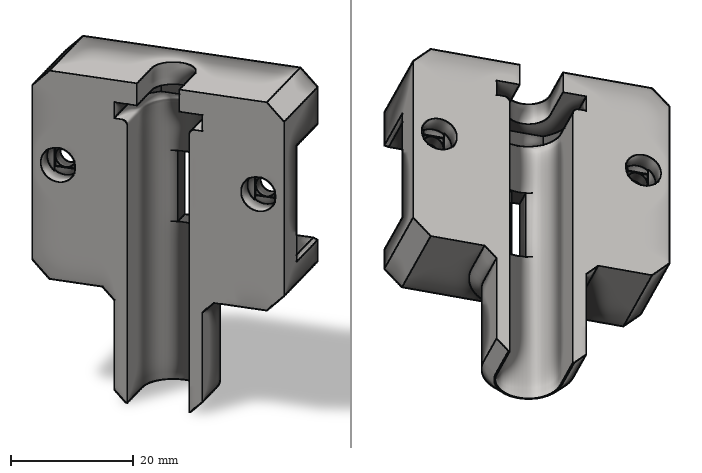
import cadquery as cq
import math

plate_width = 44.0
plate_depth = 15.7
top_z = 57.0
plate_bottom_z = 20.0
plate_corner = 3.0

axis_y = 7.0
neck_radius = 7.7
neck_chamfer = 2.05

bore_radius = 5.4
tip_radius = 3.7
collar_radius = neck_radius
collar_bottom_z = 50.2
collar_top_z = 53.05
collar_flat_distance = 6.25
collar_back_y = axis_y + collar_flat_distance
collar_fillet = 0.95
lip_radius = bore_radius + collar_fillet
lip_bottom_z = collar_bottom_z - collar_fillet

window_bottom_z = 28.0
window_top_z = 40.6
window_half_width = 1.2
window_mouth_half_width = 2.2
window_bevel_depth = 0.45

pocket_front_y = 5.85
pocket_inner_x = -neck_radius
pocket_bottom_z = 27.4
pocket_top_z = 46.85
pocket_chamfer = 0.55

hole_x = 17.5
hole_z = 40.45
hole_radius = 1.75
counterbore_radius = 3.0
counterbore_depth = 3.0
bridge_layer = 0.3


def block(x_min, x_max, y_min, y_max, z_min, z_max):
    """Box given by its limits along each axis."""
    return (
        cq.Workplane("XY")
        .box(x_max - x_min, y_max - y_min, z_max - z_min, centered=False)
        .translate((x_min, y_min, z_min))
    )


def rod(radius, y_min, y_max, x, z):
    """Cylinder along Y."""
    return (
        cq.Workplane("XZ", origin=(x, y_min, z))
        .circle(radius)
        .extrude(y_min - y_max)
    )


def arch(radius, z_min, z_max):
    """Prism along Z with a flat front on y = 0 and a half-round back around the axis."""
    return (
        cq.Workplane("XY", origin=(0, 0, z_min))
        .moveTo(-radius, 0)
        .lineTo(-radius, axis_y)
        .threePointArc((0, axis_y + radius), (radius, axis_y))
        .lineTo(radius, 0)
        .close()
        .extrude(z_max - z_min)
    )


def tapered_arch(bottom_radius, top_radius, z_min):
    """Arch whose radius changes at 45 degrees, starting at z_min."""
    height = abs(top_radius - bottom_radius)
    z_max = z_min + height
    cone = (
        cq.Workplane("XZ", origin=(0, axis_y, 0))
        .polyline([(0, z_min), (bottom_radius, z_min), (top_radius, z_max), (0, z_max)])
        .close()
        .revolve(360, (0, 0), (0, 1))
    )
    wedge = (
        cq.Workplane("XZ")
        .polyline([
            (-bottom_radius, z_min),
            (bottom_radius, z_min),
            (top_radius, z_max),
            (-top_radius, z_max),
        ])
        .close()
        .extrude(-axis_y)
    )
    return cone.union(wedge)


def make_plate():
    plate = block(
        -plate_width / 2, plate_width / 2, 0, plate_depth, plate_bottom_z, top_z
    )
    return plate.edges("|Y").chamfer(plate_corner)


def make_neck():
    straight = arch(neck_radius, neck_chamfer, plate_bottom_z)
    foot = tapered_arch(neck_radius - neck_chamfer, neck_radius, 0)
    flare = tapered_arch(
        neck_radius, neck_radius + neck_chamfer, plate_bottom_z - neck_chamfer
    )
    plate_slab = block(-plate_width / 2, plate_width / 2, 0, plate_depth, 0, top_z)
    return straight.union(foot).union(flare).intersect(plate_slab)


def make_channel():
    """Bore, collar seat with a rounded lower lip, and narrow tip slot."""
    collar = arch(collar_radius, collar_bottom_z, collar_top_z)
    collar = collar.intersect(
        block(-collar_radius, collar_radius, 0, collar_back_y, 0, top_z)
    )
    bore = arch(bore_radius, 0, collar_bottom_z)
    tip = arch(tip_radius, collar_top_z, top_z)
    return bore.union(collar).union(tip).union(make_lip())


def lip_profile(plane_y):
    """Half section of the lip, from the axis out to the rounded edge."""
    arc_offset = collar_fillet * (1 - math.sqrt(0.5))
    return (
        cq.Workplane("XZ", origin=(0, plane_y, 0))
        .moveTo(0, lip_bottom_z)
        .lineTo(bore_radius, lip_bottom_z)
        .threePointArc(
            (bore_radius + arc_offset, collar_bottom_z - arc_offset),
            (lip_radius, collar_bottom_z),
        )
        .lineTo(0, collar_bottom_z)
        .close()
    )


def make_lip():
    """Space freed by rounding the edge between the bore and the collar seat."""
    round_part = lip_profile(axis_y).revolve(360, (0, 0), (0, 1))
    straight_part = lip_profile(0).extrude(-axis_y)
    lip = round_part.union(straight_part).union(straight_part.mirror("YZ"))
    return lip.intersect(
        block(-lip_radius, lip_radius, 0, collar_back_y, lip_bottom_z, collar_bottom_z)
    )


def make_window():
    mouth_y = axis_y + math.sqrt(bore_radius**2 - window_mouth_half_width**2)
    bevel_end_y = mouth_y + window_bevel_depth
    return (
        cq.Workplane("XY", origin=(0, 0, window_bottom_z))
        .polyline([
            (-window_mouth_half_width, mouth_y),
            (-window_half_width, bevel_end_y),
            (-window_half_width, plate_depth),
            (window_half_width, plate_depth),
            (window_half_width, bevel_end_y),
            (window_mouth_half_width, mouth_y),
        ])
        .close()
        .extrude(window_top_z - window_bottom_z)
    )


def make_pocket():
    """Left back pocket, open to the side, its rims on the side and back faces chamfered."""
    side_x = -plate_width / 2
    pocket = block(
        side_x, pocket_inner_x, pocket_front_y, plate_depth, pocket_bottom_z, pocket_top_z
    )
    side_rim = (
        cq.Workplane("XZ", origin=(0, pocket_front_y, 0))
        .polyline([
            (side_x, pocket_bottom_z - pocket_chamfer),
            (side_x + pocket_chamfer, pocket_bottom_z),
            (side_x + pocket_chamfer, pocket_top_z),
            (side_x, pocket_top_z + pocket_chamfer),
        ])
        .close()
        .extrude(pocket_front_y - plate_depth)
    )
    rim_width = pocket_inner_x - side_x + pocket_chamfer
    rim_height = pocket_top_z - pocket_bottom_z + 2 * pocket_chamfer
    back_rim = (
        cq.Workplane("XZ", origin=(0, plate_depth, 0))
        .center(side_x + rim_width / 2, (pocket_bottom_z + pocket_top_z) / 2)
        .rect(rim_width, rim_height)
        .extrude(pocket_chamfer, taper=45)
    )
    return pocket.union(side_rim).union(back_rim)


def make_screw_hole():
    """Left counterbored hole; two stepped layers narrow the counterbore to the hole."""
    strip_end_y = counterbore_depth + bridge_layer
    square_end_y = strip_end_y + bridge_layer
    x_min = -hole_x - hole_radius
    x_max = -hole_x + hole_radius
    counterbore = rod(counterbore_radius, 0, counterbore_depth, -hole_x, hole_z)
    strip = rod(counterbore_radius, 0, strip_end_y, -hole_x, hole_z).intersect(
        block(x_min, x_max, 0, strip_end_y, 0, top_z)
    )
    square = block(
        x_min, x_max, 0, square_end_y, hole_z - hole_radius, hole_z + hole_radius
    )
    hole = rod(hole_radius, 0, pocket_front_y, -hole_x, hole_z)
    return counterbore.union(strip).union(square).union(hole)


body = make_plate().union(make_neck())
body = body.cut(make_channel()).cut(make_window())
for left_cut in (make_pocket(), make_screw_hole()):
    body = body.cut(left_cut).cut(left_cut.mirror("YZ"))

result = body